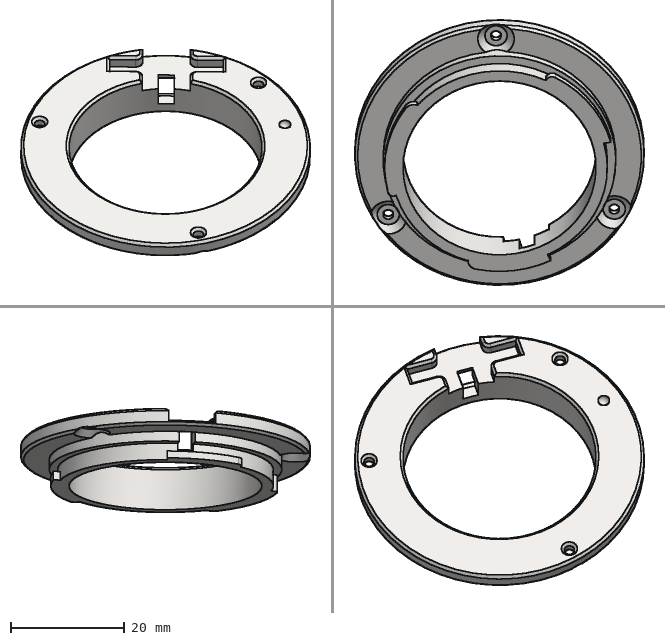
import cadquery as cq
import math

lug_height = 1.25
start_lug_height = 1.55
barrel_height = 3.0
step_height = 1.75
flange_thickness = 3.0
flange_bottom = barrel_height + step_height
total_height = flange_bottom + flange_thickness

bore_radius = 34.0 / 2
barrel_radius = 38.0 / 2
step_radius = 41.0 / 2
flange_radius = 51.0 / 2
edge_chamfer = 0.5

lug_radius = 20.25
lug_nose_radius = 1.8
stop_fillet = 1.0
start_lug_fillet = 1.2
stop_start, stop_end = 225.0, 230.8
lug_spans = [(stop_end, 281.8), (125.0, 168.6)]
start_lug_span = (-3.0, 47.0)

screw_circle_radius = 23.0
screw_angles = (90, 210, 330)
screw_radius = 1.8 / 2
screw_top_chamfer = 0.5
screw_sink_radius = 3.2
screw_sink_depth = 1.25
dimple_circle_radius = 21.75
dimple_angle = 60.0
dimple_radius = 1.0

pocket_angle = 135.0
pocket_depth = 2.25
pocket_chamfer = 0.5
channel_width = 8.4
channel_corner_radius = 1.25
arm_length = 20.0
arm_inner, arm_outer = 19.5, 22.5
key_width = 2.8
key_floor = 1.85
overrun = 2.0


def polar(radius, degrees):
    angle = math.radians(degrees)
    return radius * math.cos(angle), radius * math.sin(angle)


def disc(radius, bottom, height):
    return cq.Workplane("XY").workplane(offset=bottom).circle(radius).extrude(height)


def sector(start, end, height):
    """Lug blank between two angles, rooted inside the barrel wall."""
    root = (bore_radius + barrel_radius) / 2
    middle = (start + end) / 2
    return (
        cq.Workplane("XY")
        .moveTo(*polar(root, start))
        .lineTo(*polar(lug_radius, start))
        .threePointArc(polar(lug_radius, middle), polar(lug_radius, end))
        .lineTo(*polar(root, end))
        .threePointArc(polar(root, middle), polar(root, start))
        .close()
        .extrude(height)
    )


def nosed_lug(start, end):
    """Lug whose nose is an arc tangent to its rim, meeting the barrel at the end angle."""
    center_radius = lug_radius - lug_nose_radius
    cosine = (barrel_radius**2 + center_radius**2 - lug_nose_radius**2) / (2 * barrel_radius * center_radius)
    center_angle = end - math.degrees(math.acos(cosine))
    nose = cq.Workplane("XY").center(*polar(center_radius, center_angle)).circle(lug_nose_radius)
    return sector(start, center_angle, lug_height).union(nose.extrude(lug_height))


def filleted_lug(start, end, height, radius):
    """Lug whose outer corner at the start angle is filleted."""
    x, y = polar(lug_radius, start)
    corner = cq.selectors.NearestToPointSelector((x, y, height / 2))
    return sector(start, end, height).edges("|Z").edges(corner).fillet(radius)


def make_flange():
    flange = disc(flange_radius, flange_bottom, flange_thickness).edges().chamfer(edge_chamfer)
    for angle in screw_angles:
        flange = flange.cut(screw_hole(angle))
    return flange


def screw_hole(angle):
    """Through hole with a wide flat-bottomed 45-degree sink below and a small chamfer above."""
    sink_top = flange_bottom + screw_sink_depth
    profile = (
        cq.Workplane("XZ")
        .moveTo(0, flange_bottom)
        .lineTo(screw_sink_radius, flange_bottom)
        .lineTo(screw_sink_radius - screw_sink_depth, sink_top)
        .lineTo(screw_radius, sink_top)
        .lineTo(screw_radius, total_height - screw_top_chamfer)
        .lineTo(screw_radius + screw_top_chamfer, total_height)
        .lineTo(0, total_height)
        .close()
    )
    x, y = polar(screw_circle_radius, angle)
    return profile.revolve(360, (0, 0), (0, 1)).translate((x, y, 0))


def make_lugs():
    stop = filleted_lug(stop_start, stop_end, barrel_height, stop_fillet)
    lugs = stop.union(filleted_lug(*start_lug_span, start_lug_height, start_lug_fillet))
    for start, end in lug_spans:
        lugs = lugs.union(nosed_lug(start, end))
    return lugs


def make_bore():
    bore = disc(bore_radius, 0, total_height)
    mouth = (
        cq.Workplane("XY")
        .workplane(offset=total_height - edge_chamfer)
        .circle(bore_radius)
        .workplane(offset=edge_chamfer)
        .circle(bore_radius + edge_chamfer)
        .loft()
    )
    return bore.union(mouth)


def box(x_start, x_end, width, bottom):
    """Box centred on the X axis, reaching up to the top face."""
    return (
        cq.Workplane("XY")
        .workplane(offset=bottom)
        .center((x_start + x_end) / 2, 0)
        .rect(x_end - x_start, width)
        .extrude(total_height - bottom)
    )


def make_cross(growth):
    """Cross along +X with rounded inner corners, its outline grown outward by the given amount."""
    floor = total_height - pocket_depth
    half_channel = channel_width / 2 + growth
    inner, outer = arm_inner - growth, arm_outer + growth
    channel = box(bore_radius - overrun, flange_radius + overrun, 2 * half_channel, floor)
    cross = channel.union(box(inner, outer, arm_length + 2 * growth, floor))
    for x in (inner, outer):
        for y in (-half_channel, half_channel):
            corner = cq.selectors.NearestToPointSelector((x, y, floor + pocket_depth / 2))
            cross = cross.edges("|Z").edges(corner).fillet(channel_corner_radius - growth)
    return cross


def make_pocket():
    """Cross pocket with a chamfered rim and a key slot, turned to its angle on the flange."""
    rim_outline = make_cross(pocket_chamfer).faces(">Z").wires().toPending()
    rim = rim_outline.extrude(-pocket_chamfer, combine=False, taper=45)
    key_slot = box(bore_radius - overrun, step_radius, key_width, key_floor)
    pocket = make_cross(0).union(rim).union(key_slot)
    return pocket.rotate((0, 0, 0), (0, 0, 1), pocket_angle)


def make_dimple():
    x, y = polar(dimple_circle_radius, dimple_angle)
    return cq.Workplane("XY").sphere(dimple_radius).translate((x, y, total_height))


result = (
    make_flange()
    .union(disc(step_radius, barrel_height, step_height + flange_thickness))
    .union(disc(barrel_radius, 0, barrel_height))
    .union(make_lugs())
    .cut(make_bore())
    .cut(make_pocket())
    .cut(make_dimple())
)